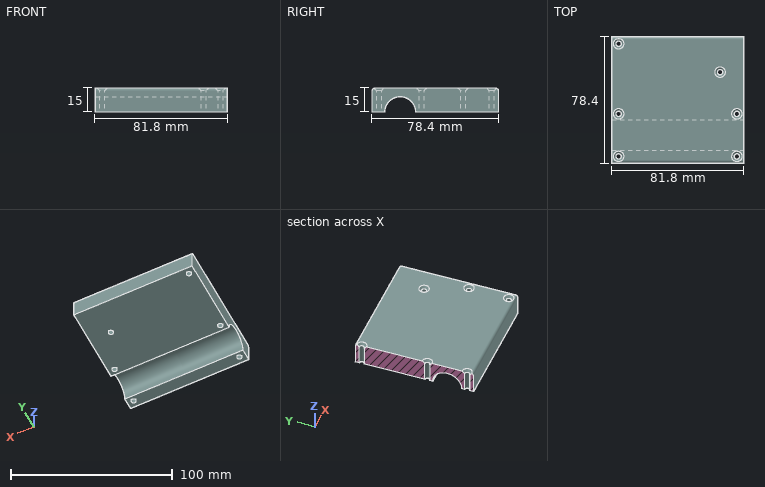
import cadquery as cq

length = 81.8
width = 78.4
height = 15.0
edge_radius = 2.0

channel_radius = 9.5
channel_y = -21.7

hole_diameter = 3.2
countersink_diameter = 6.5
countersink_angle = 90.0
hole_inset = 4.3
side_hole_x = length / 2 - hole_inset
channel_hole_offset = 13.2
back_hole_y = width / 2 - hole_inset
inner_hole = (26.2, 17.3)


def rounded_plate():
    """Block with its two long top edges rounded."""
    block = cq.Workplane("XY").box(length, width, height, centered=(True, True, False))
    return block.edges("|X and >Z").fillet(edge_radius)


def channel_cutter():
    """Cylinder along X whose axis lies in the underside."""
    return (
        cq.Workplane("YZ")
        .center(channel_y, 0)
        .circle(channel_radius)
        .extrude(length / 2, both=True)
    )


def screw_hole_points():
    """Pairs on either side of the channel, one back corner hole and one inner hole."""
    pairs = [
        (x, channel_y + offset)
        for x in (-side_hole_x, side_hole_x)
        for offset in (-channel_hole_offset, channel_hole_offset)
    ]
    return pairs + [(-side_hole_x, back_hole_y), inner_hole]


plate = rounded_plate().cut(channel_cutter())
result = (
    plate.faces(">Z")
    .workplane(origin=(0, 0, height))
    .pushPoints(screw_hole_points())
    .cskHole(hole_diameter, countersink_diameter, countersink_angle)
)